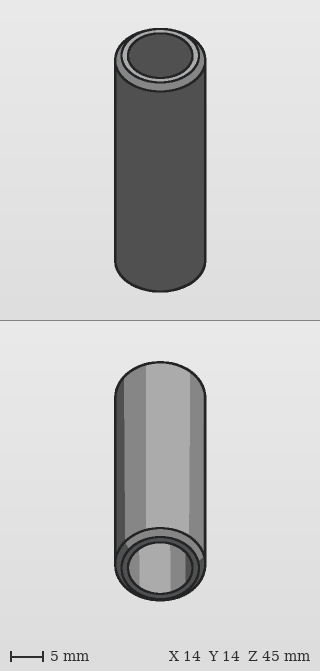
import cadquery as cq

length = 45.0
outer_diameter = 14.0
bore_diameter = 10.0
chamfer_size = 1.0

body = cq.Workplane("XY").circle(outer_diameter / 2).extrude(length)
body = body.faces("<Z or >Z").edges().chamfer(chamfer_size)

bore = cq.Workplane("XY").circle(bore_diameter / 2).extrude(length)

result = body.cut(bore)